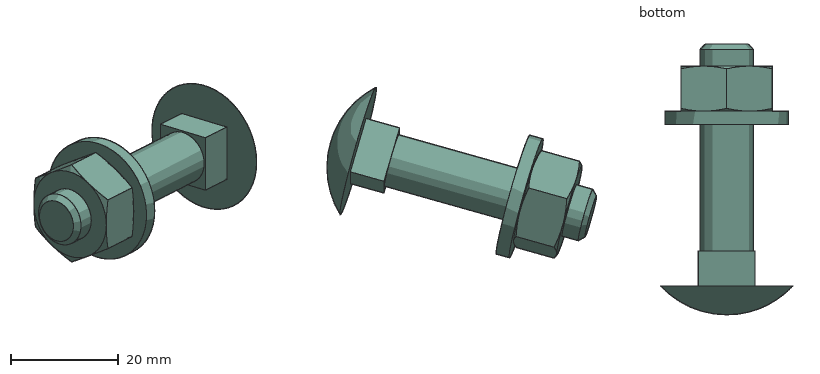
import cadquery as cq
import math

total_length = 50.4

head_diameter = 24.65
head_height = 5.4
neck_width = 10.6
neck_length = 6.5
shank_diameter = 10.0
tip_chamfer = 1.0
shank_length = total_length - head_height

washer_diameter = 23.0
washer_thickness = 2.5
nut_across_flats = 17.05
nut_sides = 6
nut_height = 8.35
nut_chamfer_depth = 0.5
tip_projection = 4.15

nut_end_y = -shank_length + tip_projection
washer_end_y = nut_end_y + nut_height


def rod(diameter, length, start_y):
    """Round bar along +Y from start_y."""
    return cq.Workplane("XZ", origin=(0, start_y, 0)).circle(diameter / 2).extrude(-length)


def make_bolt():
    """Domed head, square neck and round shank with a chamfered tip."""
    head_radius = head_diameter / 2
    dome_radius = (head_radius**2 + head_height**2) / (2 * head_height)
    dome_center_y = head_height - dome_radius
    half_angle = math.asin(head_radius / dome_radius) / 2
    arc_middle = (dome_radius * math.sin(half_angle), dome_center_y + dome_radius * math.cos(half_angle))
    head = (
        cq.Workplane("XY")
        .moveTo(0, 0)
        .lineTo(head_radius, 0)
        .threePointArc(arc_middle, (0, head_height))
        .close()
        .revolve(360, (0, 0, 0), (0, 1, 0))
    )
    neck = cq.Workplane("XZ").rect(neck_width, neck_width).extrude(neck_length)
    shank = rod(shank_diameter, shank_length, -shank_length).faces("<Y").chamfer(tip_chamfer)
    return head.union(neck).union(shank)


def make_washer():
    """Plain flat ring against the nut."""
    ring = rod(washer_diameter, washer_thickness, washer_end_y)
    return ring.cut(rod(shank_diameter, washer_thickness, washer_end_y))


def make_nut():
    """Hexagon with corners at +Z and -Z, cone-chamfered at both ends."""
    flat_radius = nut_across_flats / 2
    corner_radius = flat_radius / math.cos(math.pi / nut_sides)
    hexagon = (
        cq.Workplane("XZ", origin=(0, nut_end_y, 0))
        .transformed(rotate=(0, 0, 90))
        .polygon(nut_sides, 2 * corner_radius)
        .extrude(-nut_height)
    )
    envelope = (
        cq.Workplane("XY")
        .polyline([
            (0, nut_end_y),
            (flat_radius, nut_end_y),
            (corner_radius, nut_end_y + nut_chamfer_depth),
            (corner_radius, washer_end_y - nut_chamfer_depth),
            (flat_radius, washer_end_y),
            (0, washer_end_y),
        ])
        .close()
        .revolve(360, (0, 0, 0), (0, 1, 0))
    )
    return hexagon.intersect(envelope).cut(rod(shank_diameter, nut_height, nut_end_y))


bolt = make_bolt()
washer = make_washer()
nut = make_nut()

result = cq.Compound.makeCompound([bolt.val(), washer.val(), nut.val()])